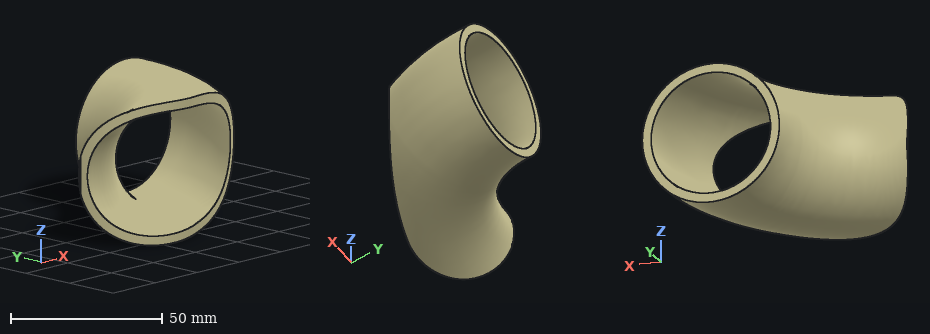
import cadquery as cq
import math


overall_length = 81.15
pipe_diameter = 48.3
wall_thickness = 3.2
seam_x = 35.3

outer_radius = pipe_diameter / 2
inner_radius = outer_radius - wall_thickness
bend_radius = overall_length - outer_radius
trim_arc_radius = bend_radius / 2
trim_reach_x = overall_length + outer_radius


def parabola_depth(x):
    """Depth of points equally far from the bend
    centreline and from the straight line tangent to it at bend_radius."""
    return bend_radius - x**2 / (4 * bend_radius)


def parabola_slope(x):
    return -x / (2 * bend_radius)


def make_elbow():
    """Hollow quarter bend running from the +X axis round to the -Y axis."""
    axis_start = (-bend_radius, 0)
    axis_end = (-bend_radius, 0.8)
    return (
        cq.Workplane("XZ")
        .center(bend_radius, 0)
        .circle(outer_radius)
        .circle(inner_radius)
        .revolve(90, axis_end, axis_start)
    )


def make_kept_region():
    """Prism along Z that holds everything on the bend centre's side of the trim.

    Its lower edge is an arc followed by a parabola, tangent to each other at seam_x.
    """
    seam_depth = parabola_depth(seam_x)
    normal_angle = math.atan2(1, -parabola_slope(seam_x))

    arc_x = seam_x - trim_arc_radius * math.cos(normal_angle)
    arc_depth = seam_depth - trim_arc_radius * math.sin(normal_angle)
    start_depth = arc_depth + math.sqrt(trim_arc_radius**2 - arc_x**2)
    arc_bottom = (arc_x, -(arc_depth + trim_arc_radius))

    control_x = (seam_x + trim_reach_x) / 2
    control_depth = seam_depth + parabola_slope(seam_x) * (control_x - seam_x)
    parabola_controls = [
        (seam_x, -seam_depth),
        (control_x, -control_depth),
        (trim_reach_x, -parabola_depth(trim_reach_x)),
    ]

    return (
        cq.Workplane("XY", origin=(0, 0, -pipe_diameter))
        .moveTo(0, 0)
        .lineTo(0, -start_depth)
        .threePointArc(arc_bottom, (seam_x, -seam_depth))
        .bezier(parabola_controls)
        .lineTo(trim_reach_x, 0)
        .close()
        .extrude(2 * pipe_diameter)
    )


result = make_elbow().intersect(make_kept_region())